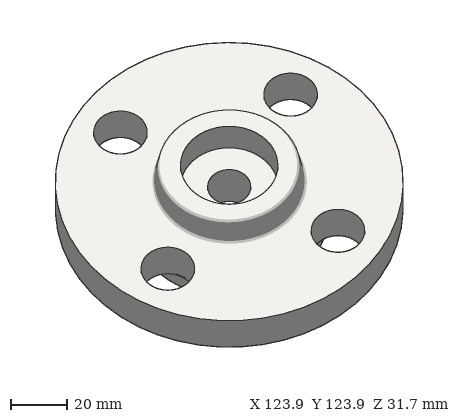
import cadquery as cq

flange_diameter = 123.9
flange_thickness = 15.7

face_diameter = 69.6
face_height = 6.3

hub_base_diameter = 53.8
hub_top_diameter = 50.3
hub_height = 9.7
hub_fillet = 1.5

socket_diameter = 34.7
socket_depth = 12.8
bore_diameter = 15.4

bolt_hole_count = 4
bolt_hole_diameter = 19.1
bolt_circle_diameter = 89.0

flange_bottom = face_height
flange_top = flange_bottom + flange_thickness
hub_top = flange_top + hub_height


def make_body():
    """Revolve the raised face, plate and tapered hub as one solid."""
    profile = (
        cq.Workplane("XZ")
        .moveTo(0, 0)
        .lineTo(face_diameter / 2, 0)
        .lineTo(face_diameter / 2, flange_bottom)
        .lineTo(flange_diameter / 2, flange_bottom)
        .lineTo(flange_diameter / 2, flange_top)
        .lineTo(hub_base_diameter / 2, flange_top)
        .lineTo(hub_top_diameter / 2, hub_top)
        .lineTo(0, hub_top)
        .close()
    )
    return profile.revolve(360, (0, 0, 0), (0, 1, 0))


def round_hub(body):
    """Round the hub's top rim and its foot on the plate."""
    rim = cq.selectors.RadiusNthSelector(0)
    foot = cq.selectors.RadiusNthSelector(1)
    hub_edges = body.edges("%CIRCLE").edges(rim + foot)
    return hub_edges.fillet(hub_fillet)


def cut_socket_and_bore(body):
    """Sink the socket into the hub and run the bore through its floor."""
    top_plane = cq.Workplane("XY").workplane(offset=hub_top)
    socket = top_plane.circle(socket_diameter / 2).extrude(-socket_depth)
    bore = top_plane.circle(bore_diameter / 2).extrude(-hub_top)
    return body.cut(socket).cut(bore)


def cut_bolt_holes(body):
    """Drill the bolt holes on the X and Y axes, through the plate."""
    holes = (
        cq.Workplane("XY")
        .workplane(offset=flange_bottom)
        .polarArray(bolt_circle_diameter / 2, 0, 360, bolt_hole_count)
        .circle(bolt_hole_diameter / 2)
        .extrude(flange_thickness)
    )
    return body.cut(holes)


body = round_hub(make_body())
body = cut_socket_and_bore(body)
result = cut_bolt_holes(body)